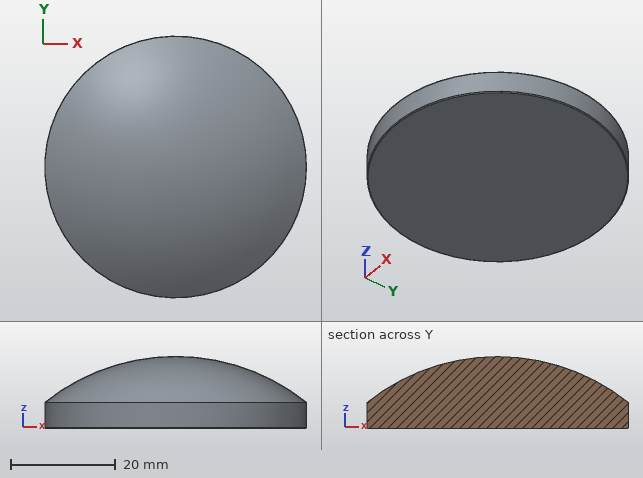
import cadquery as cq

diameter = 50.0
total_height = 13.8
rim_height = 5.0
bottom_chamfer = 0.2

radius = diameter / 2
dome_rise = total_height - rim_height
dome_radius = (radius**2 + dome_rise**2) / (2 * dome_rise)

blank = cq.Workplane("XY").circle(radius).extrude(total_height)
blank = blank.faces("<Z").edges().chamfer(bottom_chamfer)

dome_sphere = cq.Workplane("XY").sphere(dome_radius).translate((0, 0, total_height - dome_radius))

result = blank.intersect(dome_sphere)